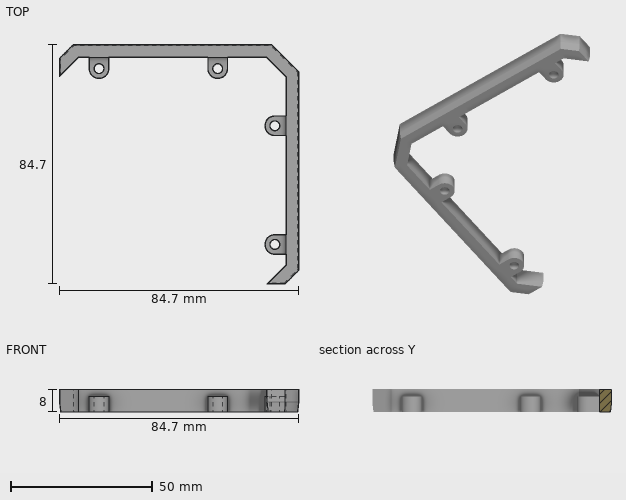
import cadquery as cq
import math

side = 84.71
height = 8.0
wall = 4.5
corner_chamfer = 9.65
end_chamfer = 4.87

taper_height = 3.5
taper_inset = 0.4
taper_angle = math.degrees(math.atan2(taper_inset, taper_height))

lugs_per_leg = 2
lug_width = 7.0
lug_height = 5.5
hole_diameter = 3.4
hole_from_outer_face = 8.5
hole_from_free_end = 13.97
hole_spacing = 42.0

half = side / 2
overshoot = 5.0


def outer_body():
    """Solid block bounded by the outer faces, tapered near the bottom."""
    outline = [
        (-half, -half),
        (half - end_chamfer, -half),
        (half, -half + end_chamfer),
        (half, half - corner_chamfer),
        (half - corner_chamfer, half),
        (-half + end_chamfer, half),
        (-half, half - end_chamfer),
    ]
    seam_plane = cq.Workplane("XY", origin=(0, 0, taper_height))
    upper = seam_plane.polyline(outline).close().extrude(height - taper_height)
    lower = seam_plane.polyline(outline).close().extrude(-taper_height, taper=taper_angle)
    return upper.union(lower)


def inner_opening():
    """Vertical-walled opening whose sides are parallel to the outer faces, one wall inside them."""
    inner = half - wall
    leg_growth = wall * math.sqrt(2)
    inner_corner_leg = corner_chamfer + leg_growth - 2 * wall
    bend = -half + end_chamfer + leg_growth - wall
    past = -half - overshoot
    past_on_diagonal = inner - (bend - past)
    outline = [
        (past, past),
        (past_on_diagonal, past),
        (inner, bend),
        (inner, inner - inner_corner_leg),
        (inner - inner_corner_leg, inner),
        (bend, inner),
        (past, past_on_diagonal),
    ]
    return cq.Workplane("XY").polyline(outline).close().extrude(height)


def lug(hole_x):
    """Round-ended lug with a through hole, standing on the inner face of the +Y leg."""
    radius = lug_width / 2
    hole_y = half - hole_from_outer_face
    root_y = half - wall / 2
    body = (
        cq.Workplane("XY")
        .moveTo(hole_x - radius, root_y)
        .lineTo(hole_x - radius, hole_y)
        .threePointArc((hole_x, hole_y - radius), (hole_x + radius, hole_y))
        .lineTo(hole_x + radius, root_y)
        .close()
        .extrude(lug_height)
    )
    hole = cq.Workplane("XY").center(hole_x, hole_y).circle(hole_diameter / 2).extrude(lug_height)
    return body.cut(hole)


def swap_x_and_y(shape):
    """Mirror image of a shape across the plane y = x, the symmetry plane of the part."""
    return shape.mirror("XZ").rotate((0, 0, 0), (0, 0, 1), 90)


result = outer_body().cut(inner_opening())

for index in range(lugs_per_leg):
    y_leg_lug = lug(-half + hole_from_free_end + index * hole_spacing)
    x_leg_lug = swap_x_and_y(y_leg_lug)
    result = result.union(y_leg_lug).union(x_leg_lug)